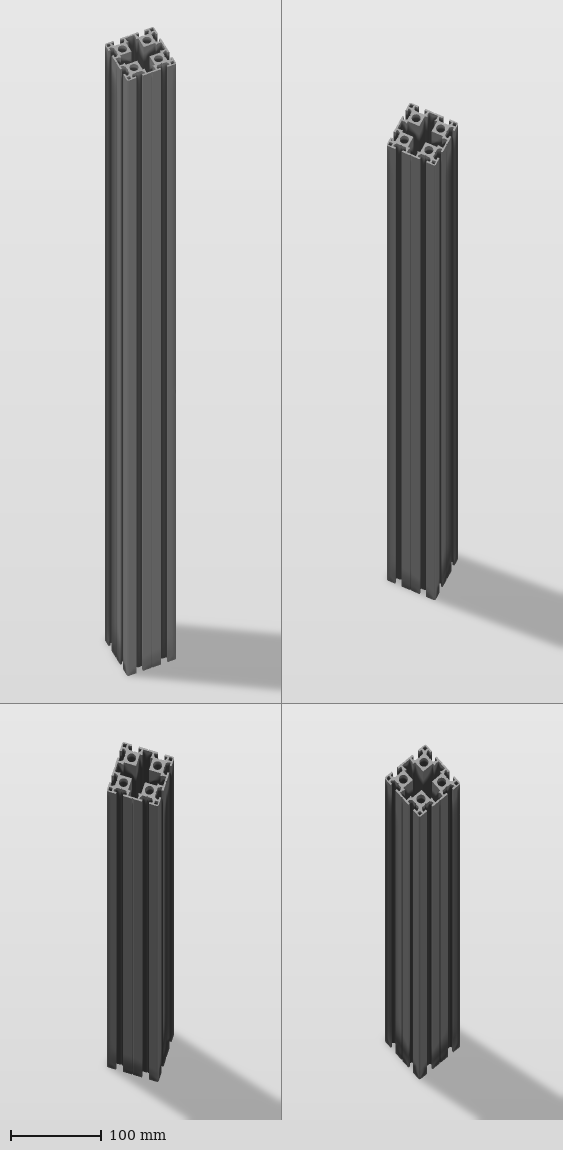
import cadquery as cq

LENGTH = 1000.0
SIDE = 60.0
FACE = SIDE / 2
CORNER_RADIUS = 2.0
QUARTER_TURNS = (0, 90, 180, 270)

SLOT_PITCH = 30.0
SLOT_OPENING = 8.0
LIP_THICKNESS = 2.2
SLOT_WIDTH = 15.0
SLOT_TAPER_START = 4.0
SLOT_FLOOR_WIDTH = 11.0
SLOT_DEPTH = 7.0

GROOVE_WIDTH = 2.0
GROOVE_DEPTH = 1.0

BORE_DIAMETER = 10.0

HOLLOW_WIDTH = 4.0
HOLLOW_WALL = 1.5

CAVITY_WIDTH = 15.0
CAVITY_SPAN = 43.0
NECK_WIDTH = 9.0
POCKET_WIDTH = 11.0
POCKET_DEPTH = 4.0
OUTER_WALL = 2.0


def symmetric_prism(x, half_outline):
    """Full-length prism mirrored about the plane at x; half_outline holds (offset from x, y)."""
    right = [(x + offset, y) for offset, y in half_outline]
    left = [(x - offset, y) for offset, y in reversed(half_outline) if offset > 0]
    return cq.Workplane("XY").polyline(right + left).close().extrude(LENGTH)


def square_pattern(spacing):
    """Workplane with a point in each quadrant, spaced evenly along X and Y."""
    return cq.Workplane("XY").rarray(spacing, spacing, 2, 2)


def make_body():
    body = cq.Workplane("XY").rect(SIDE, SIDE).extrude(LENGTH)
    return body.edges("|Z").fillet(CORNER_RADIUS)


def make_slot(x):
    """T-slot opening toward +Y, with flanks tapering to a grooved floor."""
    floor = FACE - SLOT_DEPTH
    return symmetric_prism(
        x,
        [
            (SLOT_OPENING / 2, FACE),
            (SLOT_OPENING / 2, FACE - LIP_THICKNESS),
            (SLOT_WIDTH / 2, FACE - LIP_THICKNESS),
            (SLOT_WIDTH / 2, FACE - SLOT_TAPER_START),
            (SLOT_FLOOR_WIDTH / 2, floor),
            (GROOVE_WIDTH / 2, floor),
            (0, floor - GROOVE_DEPTH),
        ],
    )


def make_side_groove():
    return symmetric_prism(0, [(GROOVE_WIDTH / 2, FACE), (0, FACE - GROOVE_DEPTH)])


def make_cavity_arm():
    """The +Y arm of the central cavity, from the axis out to the thin outer wall."""
    pocket_end = FACE - OUTER_WALL
    return symmetric_prism(
        0,
        [
            (POCKET_WIDTH / 2, pocket_end),
            (POCKET_WIDTH / 2, pocket_end - POCKET_DEPTH),
            (NECK_WIDTH / 2, CAVITY_SPAN / 2),
            (CAVITY_WIDTH / 2, CAVITY_SPAN / 2),
            (CAVITY_WIDTH / 2, 0),
        ],
    )


def make_bores():
    return square_pattern(SLOT_PITCH).circle(BORE_DIAMETER / 2).extrude(LENGTH)


def make_corner_hollows():
    spacing = SIDE - 2 * HOLLOW_WALL - HOLLOW_WIDTH
    return square_pattern(spacing).rect(HOLLOW_WIDTH, HOLLOW_WIDTH).extrude(LENGTH)


side_cutters = [
    make_slot(-SLOT_PITCH / 2),
    make_slot(SLOT_PITCH / 2),
    make_side_groove(),
    make_cavity_arm(),
]

result = make_body().cut(make_bores()).cut(make_corner_hollows())
for cutter in side_cutters:
    for angle in QUARTER_TURNS:
        result = result.cut(cutter.rotate((0, 0, 0), (0, 0, 1), angle))